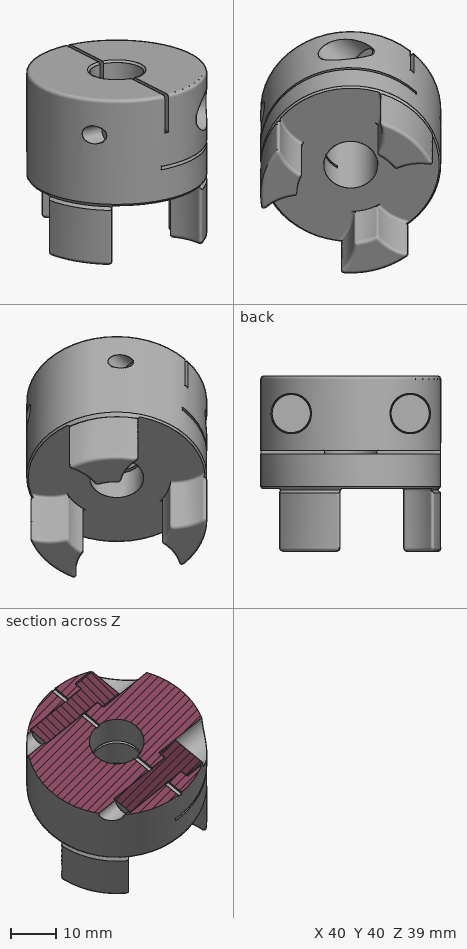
import cadquery as cq


tolerance = 0.005

outer_radius = 20.0
hub_height = 25.0
top_round = 0.8
bore_radius = 6.0
bore_chamfer = 0.5

jaw_count = 3
jaw_length = 14.0
jaw_inner_radius = 12.0
jaw_round = 0.5
jaw_end_round = 0.8
jaw_root_round = 0.65
lobe_center_radius = 15.9
lobe_radius = 11.65

groove_top = 0.5
groove_valley = -0.35
groove_bottom = -1.0
groove_depth = 0.65

split_width = 1.0
split_depth = 8.8
cross_slit_top = 8.5
cross_slit_height = 0.8
cross_slit_end = -1.35

screw_offset = 13.2
screw_depth = 8.35
screw_z = hub_height - screw_depth
shank_diameter = 5.0
shank_radius = shank_diameter / 2
tip_hole_diameter = 4.2
tip_hole_radius = tip_hole_diameter / 2
tip_y = -11.4
head_radius = 4.25
head_height = 5.0
head_top_y = 9.6
head_seat_y = head_top_y - head_height
counterbore_radius = 4.5


def disc_along_y(radius, start_y, end_y, x):
    """Cylinder on a screw axis, from start_y to end_y."""
    plane = cq.Plane(origin=(x, start_y, screw_z), xDir=(1, 0, 0), normal=(0, 1, 0))
    return cq.Workplane(plane).circle(radius).extrude(end_y - start_y)


def make_hub_barrel():
    """Plain cylinder with its top edge rounded."""
    barrel = cq.Workplane("XY").circle(outer_radius).extrude(hub_height)
    return barrel.faces(">Z").edges().fillet(top_round)


def make_jaws():
    """Ring below the hub, parted into jaws by round lobe pockets."""
    ring = (
        cq.Workplane("XY").workplane(offset=-jaw_length)
        .circle(outer_radius).circle(jaw_inner_radius).extrude(jaw_length)
    )
    lobes = (
        cq.Workplane("XY").workplane(offset=-jaw_length)
        .polarArray(lobe_center_radius, 0, 360, jaw_count)
        .circle(lobe_radius).extrude(jaw_length)
    )
    jaws = ring.cut(lobes)
    return jaws.edges("|Z").fillet(jaw_round).faces("<Z").edges().fillet(jaw_end_round)


def make_groove():
    """Ring-shaped cutter with a V section."""
    return (
        cq.Workplane("XZ")
        .moveTo(outer_radius, groove_top)
        .lineTo(outer_radius - groove_depth, groove_valley)
        .lineTo(outer_radius, groove_bottom)
        .close()
        .revolve(360, (0, 0, 0), (0, 1, 0))
    )


def make_bore():
    """Shaft bore cutter with a countersink at the top."""
    bore = cq.Workplane("XY").circle(bore_radius).extrude(hub_height)
    countersink = (
        cq.Workplane("XY").workplane(offset=hub_height)
        .circle(bore_radius + bore_chamfer)
        .workplane(offset=-bore_chamfer).circle(bore_radius).loft()
    )
    return bore.union(countersink)


def make_spider_clearance():
    """Straight bore between the jaws, which keeps their inner faces plain up to the hub base."""
    return (
        cq.Workplane("XY").workplane(offset=-jaw_length)
        .circle(jaw_inner_radius).extrude(jaw_length)
    )


def make_slits():
    """Upright split through the axis and the cross slit below the clamping half."""
    span = 2 * outer_radius
    split = (
        cq.Workplane("XY").box(span, split_width, split_depth, centered=(True, True, False))
        .translate((0, 0, hub_height - split_depth))
    )
    cross_slit = (
        cq.Workplane("XY").box(span, span, cross_slit_height, centered=(True, False, False))
        .translate((0, cross_slit_end, cross_slit_top - cross_slit_height))
    )
    return split.union(cross_slit)


def make_screw_hole(x):
    """Stepped hole that fits the screw, with a narrower run-out beyond its end."""
    counterbore = disc_along_y(counterbore_radius, head_seat_y, outer_radius, x)
    shank_hole = disc_along_y(shank_radius, tip_y, head_seat_y, x)
    tip_hole = disc_along_y(tip_hole_radius, -outer_radius, tip_y, x)
    return counterbore.union(shank_hole).union(tip_hole)


def is_rim(edge):
    """True for the stretches of the hub's outer edge between the jaws."""
    return edge.geomType() == "CIRCLE" and abs(edge.radius() - outer_radius) < tolerance


def round_jaw_roots(hub):
    """Fillet the corners between the jaws and the hub base."""
    base_slab = cq.selectors.BoxSelector(
        (-outer_radius, -outer_radius, -tolerance),
        (outer_radius, outer_radius, tolerance),
    )
    jaw_roots = hub.edges(base_slab).filter(lambda edge: not is_rim(edge))
    return jaw_roots.fillet(jaw_root_round)


def make_hub(screw_places):
    """Barrel and jaws in one piece, with all cuts made."""
    hub = round_jaw_roots(make_hub_barrel().union(make_jaws()))
    hub = hub.cut(make_spider_clearance())
    hub = hub.cut(make_groove())
    hub = hub.cut(make_bore())
    hub = hub.cut(make_slits())
    for x in screw_places:
        hub = hub.cut(make_screw_hole(x))
    return hub


def make_screw(x):
    """Cap screw with its head on the +Y side."""
    shank = disc_along_y(shank_radius, tip_y, head_seat_y, x)
    head = disc_along_y(head_radius, head_seat_y, head_top_y, x)
    return shank.union(head)


screw_places = [-screw_offset, screw_offset]
hub = make_hub(screw_places)
screws = [make_screw(x) for x in screw_places]

result = cq.Compound.makeCompound([hub.val(), *[screw.val() for screw in screws]])